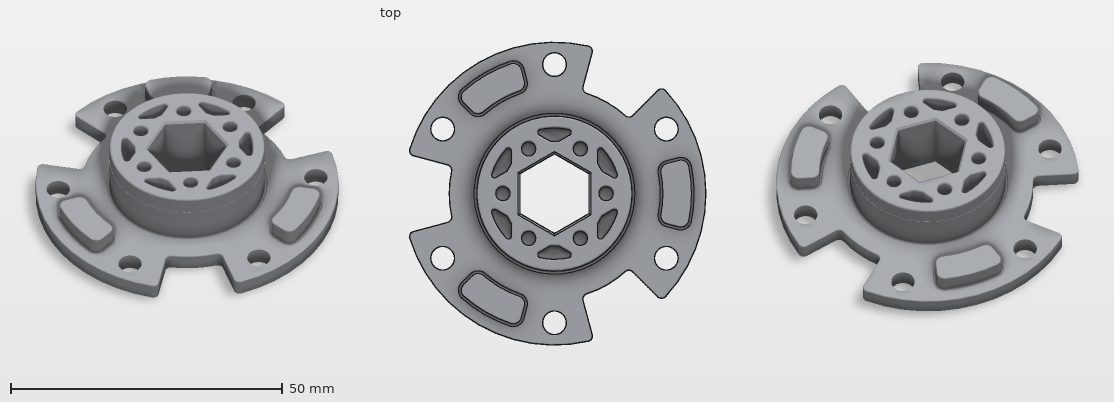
import math

import cadquery as cq

PLATE_RADIUS = 27.94
PLATE_THICKNESS = 3.175
EDGE_ROUND = 0.254

NOTCH_ANGLES = (60, 180, 300)
NOTCH_HALF_ANGLE = 15
NOTCH_ROOT_RADIUS = 19.43
NOTCH_CORNER_RADIUS = 1.016

BOLT_COUNT = 6
BOLT_FIRST_ANGLE = 30
BOLT_CIRCLE_RADIUS = 23.8125
BOLT_HOLE_DIAMETER = 4.318

PAD_ANGLES = (0, 120, 240)
PAD_HEIGHT = 3.175
PAD_INNER_RADIUS = 20.0
PAD_OUTER_RADIUS = 25.25
PAD_HALF_ANGLE = 15
PAD_CORNER_RADIUS = 1.5

HUB_RADIUS = 14.325
HUB_SEAT_RADIUS = 14.2875
HUB_SEAT_LENGTH = 3.175
HUB_FACE_ROUND = 0.381
TOTAL_HEIGHT = 12.7
HEX_ACROSS_FLATS = 12.7
HEX_CHAMFER = 0.381
HEX_SIDES = 6
HEX_TURN = 180 / HEX_SIDES

GROOVE_RADIUS = 0.254

RECESS_DEPTH = TOTAL_HEIGHT - PLATE_THICKNESS
RECESS_FLOOR_FILLET = 0.9525
RECESS_COUNT = 6
ROUND_RECESS_CIRCLE_RADIUS = 9.525
ROUND_RECESS_RADIUS = 1.31
SLOT_FIRST_ANGLE = 30
SLOT_OUTER_RADIUS = 12.12
SLOT_INNER_DISTANCE = 9.65
SLOT_INNER_HALF_WIDTH = 0.8
SLOT_SIDE_ANGLE = 60
SLOT_CORNER_RADIUS = 0.55


def polar(radius, angle):
    """Point at a radius and an angle in degrees about the part axis."""
    radians = math.radians(angle)
    return (radius * math.cos(radians), radius * math.sin(radians))


def ring_points(count, radius, first_angle):
    """Evenly spaced points on a circle about the part axis."""
    return [polar(radius, first_angle + 360 / count * i) for i in range(count)]


def sector_outline(inner_radius, outer_radius, half_angle):
    """Closed ring sector centred on +X, with radial ends."""
    return (
        cq.Workplane("XY")
        .moveTo(*polar(inner_radius, -half_angle))
        .lineTo(*polar(outer_radius, -half_angle))
        .threePointArc(polar(outer_radius, 0), polar(outer_radius, half_angle))
        .lineTo(*polar(inner_radius, half_angle))
        .threePointArc(polar(inner_radius, 0), polar(inner_radius, -half_angle))
        .close()
    )


def turned(shape, angle):
    """Copy of a shape turned about the part axis."""
    return shape.rotate((0, 0, 0), (0, 0, 1), angle)


def make_plate():
    """Notched disc with rounded corners and rounded top and bottom edges."""
    plate = cq.Workplane("XY").circle(PLATE_RADIUS).extrude(PLATE_THICKNESS)
    notch = sector_outline(NOTCH_ROOT_RADIUS, 2 * PLATE_RADIUS, NOTCH_HALF_ANGLE).extrude(PLATE_THICKNESS)
    for angle in NOTCH_ANGLES:
        plate = plate.cut(turned(notch, angle))
    plate = plate.edges("|Z").fillet(NOTCH_CORNER_RADIUS)
    plate = plate.faces("<Z or >Z").edges().fillet(EDGE_ROUND)
    bolt_holes = (
        cq.Workplane("XY")
        .pushPoints(ring_points(BOLT_COUNT, BOLT_CIRCLE_RADIUS, BOLT_FIRST_ANGLE))
        .circle(BOLT_HOLE_DIAMETER / 2)
        .extrude(PLATE_THICKNESS)
    )
    return plate.cut(bolt_holes)


def make_pad_post():
    """Pad on +X with rounded corners, standing on the bottom plane."""
    sector = sector_outline(PAD_INNER_RADIUS, PAD_OUTER_RADIUS, PAD_HALF_ANGLE)
    post = sector.extrude(PLATE_THICKNESS + PAD_HEIGHT)
    return post.edges("|Z").fillet(PAD_CORNER_RADIUS)


def make_hub_post():
    """Hub cylinder with a slimmer band at its top, standing on the bottom plane."""
    return (
        cq.Workplane("XY")
        .circle(HUB_RADIUS)
        .extrude(TOTAL_HEIGHT - HUB_SEAT_LENGTH)
        .faces(">Z")
        .workplane()
        .circle(HUB_SEAT_RADIUS)
        .extrude(HUB_SEAT_LENGTH)
    )


def make_pad_groove(post):
    """Round bar around the foot of a pad, tangent to its wall, half sunk in the plate."""
    foot = post.faces("<Z").val().outerWire().moved(cq.Location(cq.Vector(0, 0, PLATE_THICKNESS)))
    centre_line = foot.offset2D(GROOVE_RADIUS)[0]
    profile_plane = cq.Plane(centre_line.positionAt(0), normal=centre_line.tangentAt(0))
    return cq.Workplane(profile_plane).circle(GROOVE_RADIUS).sweep(centre_line)


def make_hub_groove():
    """Round ring around the foot of the hub, tangent to its wall, half sunk in the plate."""
    ring = cq.Solid.makeTorus(HUB_RADIUS + GROOVE_RADIUS, GROOVE_RADIUS)
    return cq.Workplane(ring).translate((0, 0, PLATE_THICKNESS))


def make_slot_cutter():
    """Slot on +X: arc outer wall, flat inner wall and two slanted sides."""
    side_angle = math.radians(SLOT_SIDE_ANGLE)
    wall_distance = SLOT_INNER_DISTANCE * math.sin(side_angle) - SLOT_INNER_HALF_WIDTH * math.cos(side_angle)
    wall_reach = math.sqrt(SLOT_OUTER_RADIUS**2 - wall_distance**2)
    end_angle = math.degrees(math.atan2(wall_reach, wall_distance)) - (90 - SLOT_SIDE_ANGLE)
    cutter = (
        cq.Workplane("XY", origin=(0, 0, TOTAL_HEIGHT - RECESS_DEPTH))
        .moveTo(SLOT_INNER_DISTANCE, -SLOT_INNER_HALF_WIDTH)
        .lineTo(*polar(SLOT_OUTER_RADIUS, -end_angle))
        .threePointArc((SLOT_OUTER_RADIUS, 0), polar(SLOT_OUTER_RADIUS, end_angle))
        .lineTo(SLOT_INNER_DISTANCE, SLOT_INNER_HALF_WIDTH)
        .close()
        .extrude(RECESS_DEPTH)
    )
    cutter = cutter.edges("|Z").fillet(SLOT_CORNER_RADIUS)
    return cutter.faces("<Z").edges().fillet(RECESS_FLOOR_FILLET)


def make_round_cutter():
    """Round recess on +X with a rounded floor."""
    cutter = (
        cq.Workplane("XY", origin=(ROUND_RECESS_CIRCLE_RADIUS, 0, TOTAL_HEIGHT - RECESS_DEPTH))
        .circle(ROUND_RECESS_RADIUS)
        .extrude(RECESS_DEPTH)
    )
    return cutter.faces("<Z").edges().fillet(RECESS_FLOOR_FILLET)


def cut_recesses(body):
    """Cut the ring of blind recesses and round every edge of the hub face."""
    slot = make_slot_cutter()
    round_recess = make_round_cutter()
    for i in range(RECESS_COUNT):
        angle = 360 / RECESS_COUNT * i
        body = body.cut(turned(round_recess, angle))
        body = body.cut(turned(slot, SLOT_FIRST_ANGLE + angle))
    return body.faces(">Z").edges().fillet(HUB_FACE_ROUND)


def cut_hex_bore(body):
    """Through hexagonal bore, vertex on +Y, chamfered at the hub face."""
    corners_per_flat = 1 / math.cos(math.pi / HEX_SIDES)
    corner_diameter = HEX_ACROSS_FLATS * corners_per_flat
    mouth_diameter = (HEX_ACROSS_FLATS + 2 * HEX_CHAMFER) * corners_per_flat
    bore = cq.Workplane("XY").polygon(HEX_SIDES, corner_diameter).extrude(TOTAL_HEIGHT)
    mouth = (
        cq.Workplane("XY", origin=(0, 0, TOTAL_HEIGHT))
        .polygon(HEX_SIDES, mouth_diameter)
        .workplane(offset=-HEX_CHAMFER)
        .polygon(HEX_SIDES, corner_diameter)
        .loft(ruled=True)
    )
    return body.cut(turned(bore, HEX_TURN)).cut(turned(mouth, HEX_TURN))


flange = make_plate()
pad_post = make_pad_post()
rounded_pad = pad_post.faces(">Z").edges().fillet(EDGE_ROUND)
pad_groove = make_pad_groove(pad_post)
for pad_angle in PAD_ANGLES:
    flange = flange.cut(turned(pad_groove, pad_angle)).union(turned(rounded_pad, pad_angle))

flange = flange.cut(make_hub_groove()).union(make_hub_post())
result = cut_hex_bore(cut_recesses(flange))